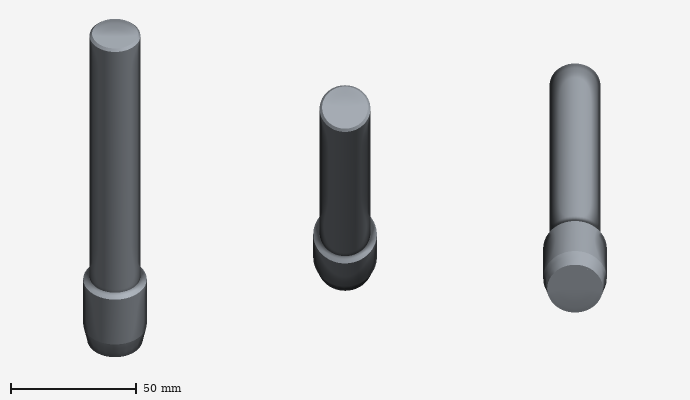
import cadquery as cq

ROD_DIAMETER = 20.3
ROD_LENGTH = 160.0
ROD_CHAMFER = 1.0

SLEEVE_DIAMETER = 25.4
SLEEVE_LENGTH = 33.0
SLEEVE_BEVEL_HEIGHT = 1.5
SLEEVE_TAPER_HEIGHT = 8.0
SLEEVE_TAPER_INSET = 1.6

rod_radius = ROD_DIAMETER / 2
sleeve_radius = SLEEVE_DIAMETER / 2


def make_rod():
    """Plain round rod with a chamfered top edge."""
    blank = cq.Workplane("XY").circle(rod_radius).extrude(ROD_LENGTH)
    return blank.faces(">Z").edges().chamfer(ROD_CHAMFER)


def make_sleeve():
    """Sleeve bored to fit the rod, tapered at the bottom and beveled in to the rod at the top."""
    bottom_radius = sleeve_radius - SLEEVE_TAPER_INSET
    bevel_start = SLEEVE_LENGTH - SLEEVE_BEVEL_HEIGHT

    half_section = (
        cq.Workplane("YZ")
        .moveTo(rod_radius, 0)
        .lineTo(bottom_radius, 0)
        .lineTo(sleeve_radius, SLEEVE_TAPER_HEIGHT)
        .lineTo(sleeve_radius, bevel_start)
        .lineTo(rod_radius, SLEEVE_LENGTH)
        .close()
    )
    return half_section.revolve(360, (0, 0, 0), (0, 1, 0))


rod = make_rod()
sleeve = make_sleeve()

result = cq.Compound.makeCompound([rod.val(), sleeve.val()])